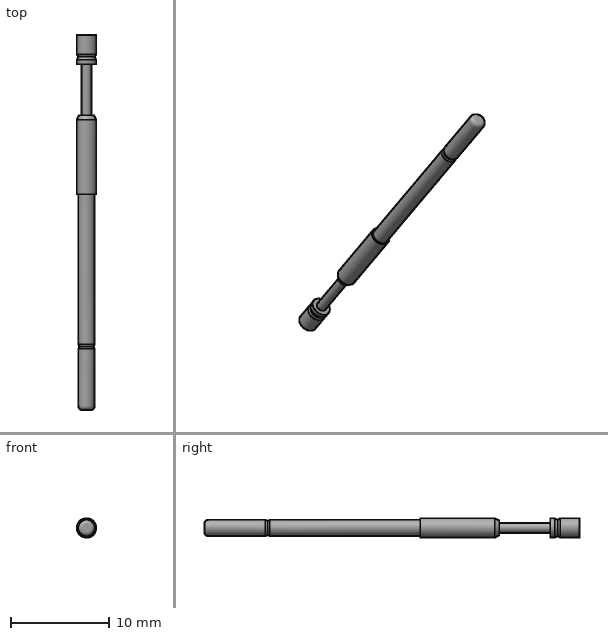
import cadquery as cq

total_length = 38.3
tail_end_y = -total_length / 2
head_end_y = total_length / 2

head_diameter = 2.0
head_groove_diameter = 1.7
plunger_diameter = 1.05
collar_diameter = 2.0
collar_mouth_diameter = 1.55
tail_diameter = 1.7
tail_groove_diameter = 1.45

head_length = 3.03
head_groove_start = 2.0
head_groove_bottom = 2.22
head_groove_finish = 2.55
collar_start = 8.2
collar_finish = 16.28
collar_taper_length = 0.45

tail_groove_center = 6.47
tail_groove_width = 0.45
tail_rounding = 0.42


def cylinder(diameter, start_y, end_y):
    """Solid cylinder on the Y axis from start_y up to end_y."""
    plane = cq.Workplane("XZ", origin=(0, end_y, 0))
    return plane.circle(diameter / 2).extrude(end_y - start_y)


def v_groove(diameter, bottom_diameter, start_y, bottom_y, end_y):
    """Ring with a triangular section that cuts a V groove into a cylinder."""
    section = [
        (diameter / 2, start_y),
        (bottom_diameter / 2, bottom_y),
        (diameter / 2, end_y),
    ]
    return cq.Workplane("XY").polyline(section).close().revolve(360, (0, 0, 0), (0, 1, 0))


def make_head():
    """Contact head with an uneven V groove near its back face."""
    head = cylinder(head_diameter, head_end_y - head_length, head_end_y)
    groove = v_groove(
        head_diameter,
        head_groove_diameter,
        head_end_y - head_groove_finish,
        head_end_y - head_groove_bottom,
        head_end_y - head_groove_start,
    )
    return head.cut(groove)


def make_plunger():
    """Slim rod joining the head to the collar."""
    return cylinder(plunger_diameter, head_end_y - collar_start, head_end_y - head_length)


def make_collar():
    """Thick sleeve, tapered where the plunger enters."""
    mouth_y = head_end_y - collar_start
    taper_y = mouth_y - collar_taper_length
    back_y = head_end_y - collar_finish
    half_section = [
        (0, back_y),
        (collar_diameter / 2, back_y),
        (collar_diameter / 2, taper_y),
        (collar_mouth_diameter / 2, mouth_y),
        (0, mouth_y),
    ]
    return cq.Workplane("XY").polyline(half_section).close().revolve(360, (0, 0, 0), (0, 1, 0))


def make_tail():
    """Long barrel with a V groove and a rounded end."""
    tail = cylinder(tail_diameter, tail_end_y, head_end_y - collar_finish)
    tail = tail.faces("<Y").edges().fillet(tail_rounding)
    groove_y = tail_end_y + tail_groove_center
    groove = v_groove(
        tail_diameter,
        tail_groove_diameter,
        groove_y - tail_groove_width / 2,
        groove_y,
        groove_y + tail_groove_width / 2,
    )
    return tail.cut(groove)


result = make_tail().union(make_collar()).union(make_plunger()).union(make_head())